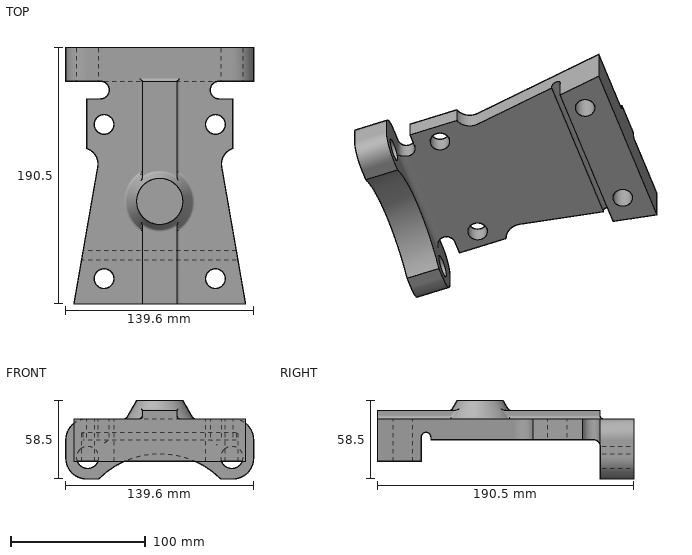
import cadquery as cq
import math

length = 190.5
overall_height = 58.5
boss_height = 13.7
plate_top = overall_height - boss_height
plate_thickness = 15.6
plate_bottom = plate_top - plate_thickness

lug_width = 139.6
lug_half_width = lug_width / 2
lug_depth = 25.1
lug_face = length - lug_depth
lug_radius = 15.6
lug_hole_radius = 8.2
lug_hole_x = 53.5
lug_hole_z = 16.2
arch_half_span = 45.3
arch_rise = 18.9
root_fillet = 5.0

plate_half_width = 54.3
front_half_width = 63.8
shoulder_y = 115.5
waist_half_width = 46.1
waist_y = 102.0
slot_width = 13.0
slot_radius = slot_width / 2
slot_inner_x = 37.5

foot_depth = 32.5
foot_bottom = 13.1
groove_width = 7.0
groove_radius = groove_width / 2
groove_top = 34.7

hole_radius = 7.2
hole_x = 41.3
hole_rows = (18.9, 133.4)

rib_width = 25.5
rib_height = 6.3
boss_y = 76.2
boss_top_radius = 17.1
boss_draft = 30.0
boss_base_radius = boss_top_radius + boss_height * math.tan(math.radians(boss_draft))
blend_radius = 2.3


def block(x_size, y_start, y_end, z_start, z_end):
    """Box centred on X = 0."""
    size = (x_size, y_end - y_start, z_end - z_start)
    return cq.Workplane("XY").box(*size, centered=(True, False, False)).translate((0, y_start, z_start))


def make_plate():
    half = (
        cq.Workplane("XY", origin=(0, 0, plate_bottom))
        .lineTo(-front_half_width, 0)
        .lineTo(-waist_half_width, waist_y)
        .tangentArcPoint((-plate_half_width, shoulder_y), relative=False)
        .lineTo(-plate_half_width, lug_face)
        .lineTo(0, lug_face)
        .close()
        .extrude(plate_thickness)
    )
    return half.union(half.mirror("YZ"))


def make_foot():
    taper_slope = (front_half_width - waist_half_width) / waist_y
    back_half_width = front_half_width - taper_slope * foot_depth
    return (
        cq.Workplane("XY", origin=(0, 0, foot_bottom))
        .polyline([
            (-front_half_width, 0),
            (front_half_width, 0),
            (back_half_width, foot_depth),
            (-back_half_width, foot_depth),
        ])
        .close()
        .extrude(plate_bottom - foot_bottom)
    )


def make_lugs():
    profile = (
        cq.Workplane("XZ", origin=(0, length, 0))
        .moveTo(-arch_half_span, 0)
        .threePointArc((0, arch_rise), (arch_half_span, 0))
        .lineTo(lug_half_width, 0)
        .lineTo(lug_half_width, plate_top)
        .lineTo(-lug_half_width, plate_top)
        .lineTo(-lug_half_width, 0)
        .close()
        .extrude(lug_depth)
    )
    return profile.edges("|Y and (<X or >X)").fillet(lug_radius)


def make_root_fillet():
    """Concave web between the plate underside and the hinge block."""
    return (
        cq.Workplane("YZ", origin=(-plate_half_width, 0, 0))
        .moveTo(lug_face, plate_bottom)
        .lineTo(lug_face, plate_bottom - root_fillet)
        .radiusArc((lug_face - root_fillet, plate_bottom), -root_fillet)
        .close()
        .extrude(2 * plate_half_width)
    )


def make_relief_slots():
    slots = cq.Workplane("XY")
    slot_length = plate_half_width - slot_inner_x + slot_width
    for side in (-1, 1):
        slots = slots.union(
            cq.Workplane("XY")
            .center(side * (slot_inner_x + slot_length / 2), lug_face - slot_radius)
            .slot2D(slot_length, slot_width)
            .extrude(plate_top)
        )
    return slots


def make_groove():
    groove_y = foot_depth + groove_radius
    groove_axis_z = groove_top - groove_radius
    rounded_top = (
        cq.Workplane("YZ", origin=(-front_half_width, groove_y, groove_axis_z))
        .circle(groove_radius)
        .extrude(2 * front_half_width)
    )
    return rounded_top.union(
        block(2 * front_half_width, foot_depth, foot_depth + groove_width, foot_bottom, groove_axis_z)
    )


def add_rib_and_boss(body):
    rib = block(rib_width, 0, lug_face, plate_top, plate_top + rib_height)
    boss = (
        cq.Workplane("XY", origin=(0, boss_y, plate_top))
        .circle(boss_base_radius)
        .extrude(boss_height, taper=boss_draft)
    )
    body = body.union(rib).union(boss)

    margin = 0.2
    foot_edges = cq.selectors.BoxSelector(
        (-boss_base_radius, margin, plate_top - margin),
        (boss_base_radius, lug_face + margin, plate_top + margin),
    )
    boss_edges = cq.selectors.BoxSelector(
        (-rib_width / 2 - margin, boss_y - boss_base_radius, plate_top - margin),
        (rib_width / 2 + margin, boss_y + boss_base_radius, plate_top + rib_height + margin),
        boundingbox=True,
    )
    return body.edges(foot_edges + boss_edges).fillet(blend_radius)


def drill_holes(body):
    mounting_holes = (
        cq.Workplane("XY")
        .pushPoints([(side * hole_x, y) for side in (-1, 1) for y in hole_rows])
        .circle(hole_radius)
        .extrude(plate_top)
    )
    hinge_holes = (
        cq.Workplane("XZ", origin=(0, length, 0))
        .pushPoints([(side * lug_hole_x, lug_hole_z) for side in (-1, 1)])
        .circle(lug_hole_radius)
        .extrude(lug_depth)
    )
    return body.cut(mounting_holes).cut(hinge_holes)


body = make_plate().union(make_foot()).union(make_lugs()).union(make_root_fillet())
body = body.cut(make_relief_slots()).cut(make_groove())
result = drill_holes(add_rib_and_boss(body))